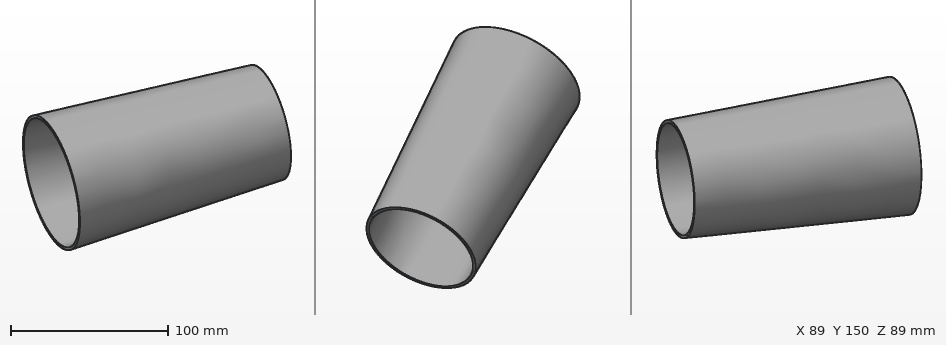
import cadquery as cq

length = 150.0
large_diameter = 89.0
small_diameter = 76.0
wall = 2.0

large_radius = large_diameter / 2
small_radius = small_diameter / 2
large_end_y = -length / 2
small_end_y = length / 2

wall_section = (
    cq.Workplane("XY")
    .moveTo(large_radius - wall, large_end_y)
    .lineTo(large_radius, large_end_y)
    .lineTo(small_radius, small_end_y)
    .lineTo(small_radius - wall, small_end_y)
    .close()
)

result = wall_section.revolve(360, (0, 0, 0), (0, 1, 0))